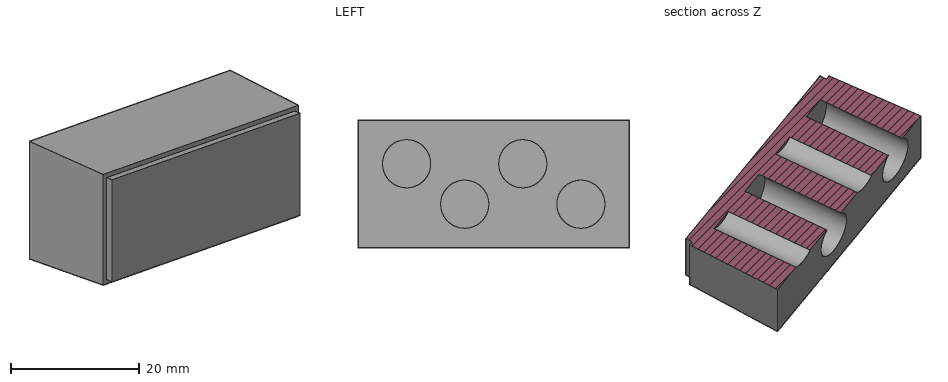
import cadquery as cq
import math

length_y = 42.2
height_z = 19.9
total_depth = 17.7
lip_depth = 1.2
body_depth = total_depth - lip_depth
draft_angle = 2.0

lip_inset = 0.75

hole_diameter = 7.5
hole_depth = 15.0
hole_count = 4
hole_pitch = 9.04
row_offset = 3.15

taper = body_depth * math.tan(math.radians(draft_angle))
end_length_y = length_y - 2 * taper
end_height_z = height_z - 2 * taper


def make_body():
    """Block with all four long sides drafted inwards towards +X."""
    return cq.Workplane("YZ").rect(length_y, height_z).extrude(body_depth, taper=draft_angle)


def make_lip():
    """Straight-sided rectangular pad on the small end face."""
    lip_length_y = end_length_y - 2 * lip_inset
    lip_height_z = end_height_z - 2 * lip_inset
    return (
        cq.Workplane("YZ", origin=(body_depth, 0, 0))
        .rect(lip_length_y, lip_height_z)
        .extrude(lip_depth)
    )


def hole_centres():
    """Evenly pitched (Y, Z) centres, starting low at -Y and alternating low and high."""
    first_y = -hole_pitch * (hole_count - 1) / 2
    centres = []
    for index in range(hole_count):
        z = -row_offset if index % 2 == 0 else row_offset
        centres.append((first_y + index * hole_pitch, z))
    return centres


def make_holes():
    """Flat-bottomed cylinders that cut the holes from the large face."""
    return (
        cq.Workplane("YZ")
        .pushPoints(hole_centres())
        .circle(hole_diameter / 2)
        .extrude(hole_depth)
    )


result = make_body().union(make_lip()).cut(make_holes())